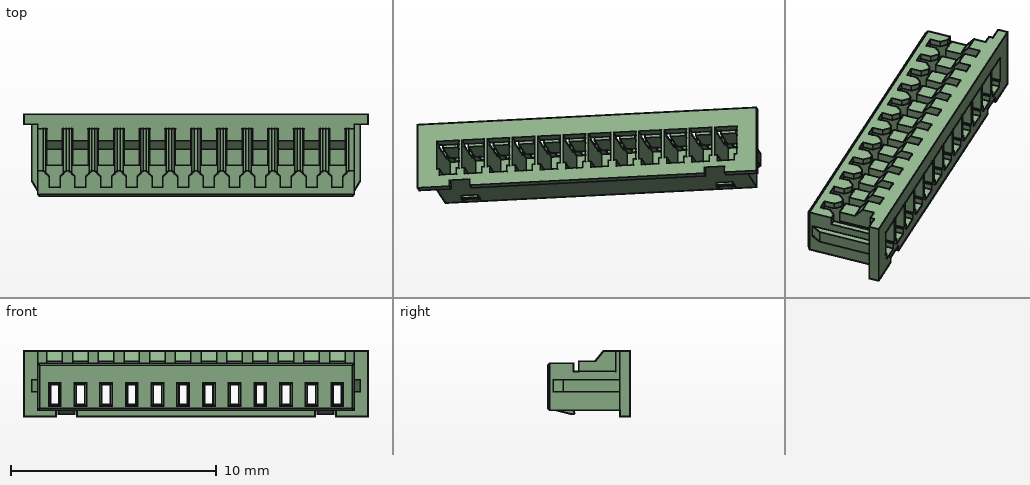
import cadquery as cq


CONTACT_COUNT = 12
PITCH = 1.25
ROW_SPAN = (CONTACT_COUNT - 1) * PITCH
CONTACT_X = [i * PITCH - ROW_SPAN / 2 for i in range(CONTACT_COUNT)]

END_MARGIN = 1.5
FLANGE_WIDTH = ROW_SPAN + 2 * END_MARGIN
FLANGE_DEPTH = 0.5
FLANGE_HEIGHT = 3.2

FLANGE_OVERHANG = 0.675
BODY_WIDTH = FLANGE_WIDTH - 2 * FLANGE_OVERHANG
BODY_LENGTH = 4.0
BODY_BOTTOM = 0.3
BODY_TOP = 2.6
FRONT_CHAMFER = 0.1

REAR_WALL_DEPTH = 0.7
DECK_Z = 2.2
DECK_FRONT = 2.75

CAVITY_WIDTH = 1.1
CAVITY_FRONT = 3.7
CAVITY_TOP = 2.3
CAVITY_STEP_Z = 0.9
LOWER_CAVITY_WIDTH = 0.85
CAVITY_FLOOR = 0.6
KEYHOLE_WIDTH = 0.53
KEYHOLE_FRONT = 3.55
KEYHOLE_TAPER_END = DECK_FRONT + (CAVITY_WIDTH - KEYHOLE_WIDTH) / 2

PIN_WIDTH = 0.4
PIN_BOTTOM = CAVITY_FLOOR
PIN_TOP = 1.55
PIN_CHAMFER = 0.1

LANCE_WIDTH = 0.75
LANCE_RAMP_START = 1.3
LANCE_RAMP_END = 1.7
LANCE_TIP = 2.5
LANCE_TIP_TOP = 2.7
LANCE_BOTTOM = 2.15

RIB_PROJECTION = 0.3
RIB_BOTTOM = 1.2
RIB_TOP = 1.8
RIB_TAPER_START = 3.25
RIB_END = 3.75

LATCH_X = 6.3
LATCH_WIDTH = 0.8
LATCH_NOTCH_WIDTH = 1.0
LATCH_REAR = 2.75
LATCH_TIP = 2.7
LATCH_TIP_TOP = 0.17
LATCH_BOTTOM_REAR = 2.75
LATCH_BOTTOM_FRONT = 2.82
LATCH_BOTTOM = 0.11
LATCH_FRONT = 3.6


def block(width, rear, front, bottom, top, x=0):
    """Box centred on x; rear and front are depths measured forward from the rear face."""
    return (
        cq.Workplane("XY")
        .box(width, front - rear, top - bottom, centered=(True, False, False))
        .translate((x, -front, bottom))
    )


def side_profile(points, width, x=0):
    """Extrude a (depth, height) outline symmetrically about x."""
    outline = [(-depth, z) for depth, z in points]
    prism = cq.Workplane("YZ").polyline(outline).close().extrude(width / 2, both=True)
    return prism.translate((x, 0, 0))


def plan_profile(points, bottom, top, x=0):
    """Extrude an (offset, depth) outline upward from bottom to top."""
    outline = [(offset, -depth) for offset, depth in points]
    prism = cq.Workplane("XY").polyline(outline).close().extrude(top - bottom)
    return prism.translate((x, 0, bottom))


def make_body():
    body = block(BODY_WIDTH, 0, BODY_LENGTH, BODY_BOTTOM, BODY_TOP)
    body = body.faces("<Y").edges().chamfer(FRONT_CHAMFER)
    flange = block(FLANGE_WIDTH, 0, FLANGE_DEPTH, 0, FLANGE_HEIGHT)
    rear_wall = block(BODY_WIDTH, 0, REAR_WALL_DEPTH, BODY_BOTTOM, FLANGE_HEIGHT)
    deck_cut = block(BODY_WIDTH, REAR_WALL_DEPTH, DECK_FRONT, DECK_Z, BODY_TOP)
    return body.cut(deck_cut).union(flange).union(rear_wall)


def make_keyhole(x):
    """Roof opening that narrows at 45 degrees toward the mating face."""
    half = CAVITY_WIDTH / 2
    narrow = KEYHOLE_WIDTH / 2
    outline = [
        (-half, REAR_WALL_DEPTH),
        (-half, DECK_FRONT),
        (-narrow, KEYHOLE_TAPER_END),
        (-narrow, KEYHOLE_FRONT),
        (narrow, KEYHOLE_FRONT),
        (narrow, KEYHOLE_TAPER_END),
        (half, DECK_FRONT),
        (half, REAR_WALL_DEPTH),
    ]
    return plan_profile(outline, CAVITY_TOP, BODY_TOP, x)


def make_cavity(x):
    """Stepped contact channel, open at the rear face and through the roof keyhole."""
    upper = block(CAVITY_WIDTH, 0, CAVITY_FRONT, CAVITY_STEP_Z, CAVITY_TOP, x)
    lower = block(LOWER_CAVITY_WIDTH, 0, CAVITY_FRONT, CAVITY_FLOOR, CAVITY_STEP_Z, x)
    return upper.union(lower).union(make_keyhole(x))


def make_pin_opening(x):
    """Rectangular pin hole with a chamfered lead-in at the mating face."""
    pin_height = PIN_TOP - PIN_BOTTOM
    opening = block(PIN_WIDTH, CAVITY_FRONT, BODY_LENGTH, PIN_BOTTOM, PIN_TOP, x)
    lead_in = (
        cq.Workplane("XZ", origin=(x, -BODY_LENGTH, (PIN_BOTTOM + PIN_TOP) / 2))
        .rect(PIN_WIDTH + 2 * PIN_CHAMFER, pin_height + 2 * PIN_CHAMFER)
        .workplane(offset=-PIN_CHAMFER)
        .rect(PIN_WIDTH, pin_height)
        .loft(ruled=True)
    )
    return opening.union(lead_in)


def make_lance(x):
    outline = [
        (REAR_WALL_DEPTH, LANCE_BOTTOM),
        (REAR_WALL_DEPTH, FLANGE_HEIGHT),
        (LANCE_RAMP_START, FLANGE_HEIGHT),
        (LANCE_RAMP_END, LANCE_TIP_TOP),
        (LANCE_TIP, LANCE_TIP_TOP),
        (LANCE_TIP, LANCE_BOTTOM),
    ]
    return side_profile(outline, LANCE_WIDTH, x)


def make_ribs():
    inner = BODY_WIDTH / 2
    outer = inner + RIB_PROJECTION
    outline = [
        (-outer, FLANGE_DEPTH),
        (-outer, RIB_TAPER_START),
        (-inner, RIB_END),
        (-inner, FLANGE_DEPTH),
    ]
    rib = plan_profile(outline, RIB_BOTTOM, RIB_TOP)
    return rib.union(rib.mirror("YZ"))


def make_latch(x):
    outline = [
        (LATCH_REAR, BODY_BOTTOM),
        (LATCH_TIP, LATCH_TIP_TOP),
        (LATCH_BOTTOM_REAR, LATCH_BOTTOM),
        (LATCH_BOTTOM_FRONT, LATCH_BOTTOM),
        (LATCH_FRONT, BODY_BOTTOM),
    ]
    return side_profile(outline, LATCH_WIDTH, x)


def make_latch_notch(x):
    return block(LATCH_NOTCH_WIDTH, 0, FLANGE_DEPTH, 0, BODY_BOTTOM, x)


result = make_body().union(make_ribs())
for contact_x in CONTACT_X:
    result = result.cut(make_cavity(contact_x)).cut(make_pin_opening(contact_x))
    result = result.union(make_lance(contact_x))
for latch_x in (-LATCH_X, LATCH_X):
    result = result.cut(make_latch_notch(latch_x)).union(make_latch(latch_x))